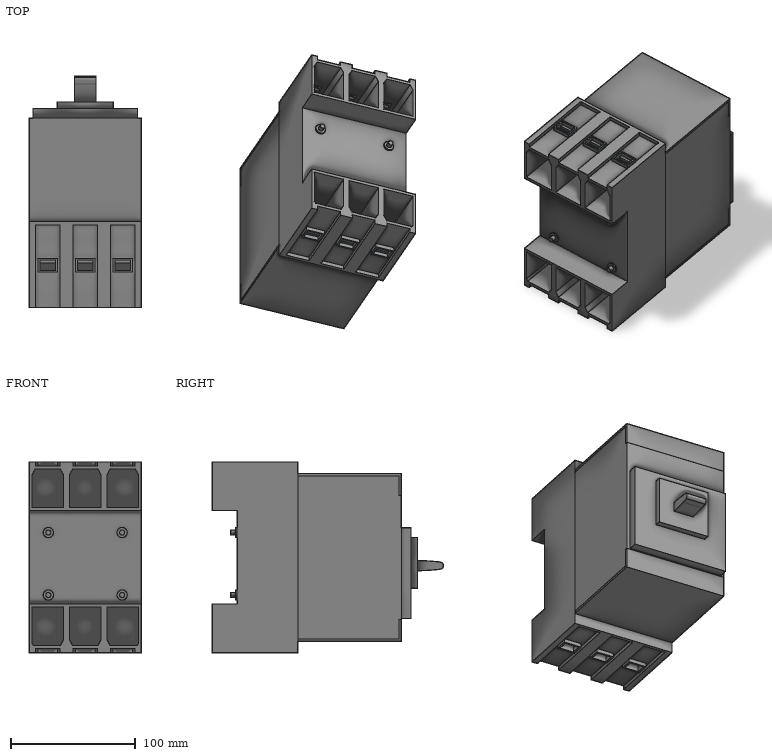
import cadquery as cq


WIDTH = 90.0
LENGTH = 185.5
BASE_HEIGHT = 153.0

BASE_DEPTH = 68.8
NOTCH_HEIGHT = 74.8
NOTCH_DEPTH = 20.0
POLE_PITCH = 30.0
POLES = (-1, 0, 1)
WALL = 2.6

GROOVE_WIDTH = 19.7
GROOVE_DEPTH = 3.3

FRAME_WIDTH = 15.5
FRAME_LENGTH = 11.0
FRAME_Y = 34.0
WINDOW_WIDTH = 12.5
WINDOW_LENGTH = 8.5
LEDGE_LENGTH = 2.5

CHAMBER_WIDTH = 25.5
CHAMBER_Z = NOTCH_HEIGHT / 2 + WALL
CHAMBER_HEIGHT = BASE_HEIGHT / 2 - GROOVE_DEPTH - WALL - CHAMBER_Z
CHAMBER_DEPTH = BASE_DEPTH - WALL
CORNER = (2.6, 4.5)
SMALL_CORNER = (1.3, 1.9)

STUD_SPACING_X = 59.2
STUD_SPACING_Z = 50.1
STUD_CENTRE_Z = -5.2
COLLAR_DIAMETER = 8.2
COLLAR_THICKNESS = 1.3
STUD_DIAMETER = 4.0
STUD_LENGTH = 5.2

CASE_HEIGHT = 134.7
CASE_DEPTH = 83.0
COVER_THICKNESS = 2.0
COVER_LIP = 17.6

BEZEL_WIDTH = 83.9
BEZEL_HEIGHT = 73.0
BEZEL_DEPTH = 7.8
BEZEL_Z = -12.6
ESCUTCHEON_WIDTH = 44.9
ESCUTCHEON_HEIGHT = 41.0
ESCUTCHEON_DEPTH = 5.2
ESCUTCHEON_Z = -4.5
HANDLE_WIDTH = 17.5
HANDLE_Z = -6.7
HANDLE_ROOT = 8.4
HANDLE_SHOULDER = 6.7
HANDLE_NOSE = 5.2
SHOULDER_FROM_TIP = 6.3
NOSE_FROM_TIP = 1.3
SIDE_BULGE = 0.2

CASE_END = BASE_DEPTH + CASE_DEPTH
BEZEL_END = CASE_END + BEZEL_DEPTH
ESCUTCHEON_END = BEZEL_END + ESCUTCHEON_DEPTH


def block(width, y_start, y_end, z_start, z_end, x_centre=0):
    """Box centred on x_centre and spanning the given Y and Z ranges."""
    size = (width, y_end - y_start, z_end - z_start)
    corner = (x_centre - width / 2, y_start, z_start)
    return cq.Workplane("XY").box(*size, centered=False).translate(corner)


def mirror_down(shape):
    """Reflect an upper feature to the lower half."""
    return shape.mirror("XY")


def chamber(x_centre, left_corner, right_corner):
    """Upper terminal chamber whose two outer corners are cut off by (across, down)."""
    half = CHAMBER_WIDTH / 2
    top = CHAMBER_Z + CHAMBER_HEIGHT
    outline = [
        (x_centre - half, CHAMBER_Z),
        (x_centre + half, CHAMBER_Z),
        (x_centre + half, top - right_corner[1]),
        (x_centre + half - right_corner[0], top),
        (x_centre - half + left_corner[0], top),
        (x_centre - half, top - left_corner[1]),
    ]
    return cq.Workplane("XZ").polyline(outline).close().extrude(-CHAMBER_DEPTH)


def groove(x_centre):
    """Groove in the top of the base, open at Y = 0, with a raised frame left standing in it."""
    top = BASE_HEIGHT / 2
    floor = top - GROOVE_DEPTH
    channel = block(GROOVE_WIDTH, 0, BASE_DEPTH - WALL, floor, top, x_centre)
    frame_start = FRAME_Y - FRAME_LENGTH / 2
    frame = block(FRAME_WIDTH, frame_start, frame_start + FRAME_LENGTH, floor, top, x_centre)
    return channel.cut(frame)


def window(x_centre):
    """Window through a frame into the chamber, with a ledge at groove-floor level."""
    top = BASE_HEIGHT / 2
    floor = top - GROOVE_DEPTH
    start = FRAME_Y - WINDOW_LENGTH / 2
    end = start + WINDOW_LENGTH
    recess = block(WINDOW_WIDTH, start, end, floor, top, x_centre)
    opening = block(WINDOW_WIDTH, start, end - LEDGE_LENGTH, floor - WALL, floor, x_centre)
    return recess.union(opening)


def studs():
    """Four collared studs standing out of the notch floor."""
    floor = cq.Workplane("XZ", origin=(0, NOTCH_DEPTH, STUD_CENTRE_Z))
    places = floor.rarray(STUD_SPACING_X, STUD_SPACING_Z, 2, 2)
    collars = places.circle(COLLAR_DIAMETER / 2).extrude(COLLAR_THICKNESS)
    shanks = places.circle(STUD_DIAMETER / 2).extrude(STUD_LENGTH)
    return collars.union(shanks)


def make_base():
    """Plug-in base: notched block with six terminal chambers and four studs."""
    base = block(WIDTH, 0, BASE_DEPTH, -BASE_HEIGHT / 2, BASE_HEIGHT / 2)
    base = base.cut(block(WIDTH, 0, NOTCH_DEPTH, -NOTCH_HEIGHT / 2, NOTCH_HEIGHT / 2))
    for pole in POLES:
        x = pole * POLE_PITCH
        lower_left = SMALL_CORNER if pole == POLES[0] else CORNER
        lower_right = SMALL_CORNER if pole == POLES[-1] else CORNER
        base = base.cut(chamber(x, CORNER, CORNER))
        base = base.cut(mirror_down(chamber(x, lower_left, lower_right)))
        for cutter in (groove(x), window(x)):
            base = base.cut(cutter).cut(mirror_down(cutter))
    return base.union(studs())


def make_cover():
    """Upper cover: a plate over the case with a lip turned down over its far face."""
    top = CASE_HEIGHT / 2
    plate = block(WIDTH, BASE_DEPTH, CASE_END, top - COVER_THICKNESS, top)
    lip = block(WIDTH, CASE_END - COVER_THICKNESS, CASE_END, top - COVER_LIP, top)
    return plate.union(lip)


def handle():
    """Tapered handle with a rounded tip, symmetric about its own centre height."""
    shoulder_y = LENGTH - SHOULDER_FROM_TIP
    nose_y = LENGTH - NOSE_FROM_TIP
    side_mid_y = (ESCUTCHEON_END + shoulder_y) / 2
    side_mid = (HANDLE_ROOT + HANDLE_SHOULDER) / 4 + SIDE_BULGE
    nose_mid_y = (shoulder_y + nose_y) / 2
    nose_mid = (HANDLE_SHOULDER + HANDLE_NOSE) / 4 + SIDE_BULGE
    return (
        cq.Workplane("YZ", origin=(-HANDLE_WIDTH / 2, 0, HANDLE_Z))
        .moveTo(ESCUTCHEON_END, -HANDLE_ROOT / 2)
        .threePointArc((side_mid_y, -side_mid), (shoulder_y, -HANDLE_SHOULDER / 2))
        .threePointArc((nose_mid_y, -nose_mid), (nose_y, -HANDLE_NOSE / 2))
        .threePointArc((LENGTH, 0), (nose_y, HANDLE_NOSE / 2))
        .threePointArc((nose_mid_y, nose_mid), (shoulder_y, HANDLE_SHOULDER / 2))
        .threePointArc((side_mid_y, side_mid), (ESCUTCHEON_END, HANDLE_ROOT / 2))
        .close()
        .extrude(HANDLE_WIDTH)
    )


def make_breaker(covers):
    """Breaker case, rebated for the covers, with its stepped bezel and handle."""
    case = block(WIDTH, BASE_DEPTH, CASE_END, -CASE_HEIGHT / 2, CASE_HEIGHT / 2)
    for cover in covers:
        case = case.cut(cover)
    bezel_bottom = BEZEL_Z - BEZEL_HEIGHT / 2
    bezel = block(BEZEL_WIDTH, CASE_END, BEZEL_END, bezel_bottom, bezel_bottom + BEZEL_HEIGHT)
    plate_bottom = ESCUTCHEON_Z - ESCUTCHEON_HEIGHT / 2
    plate_top = plate_bottom + ESCUTCHEON_HEIGHT
    plate = block(ESCUTCHEON_WIDTH, BEZEL_END, ESCUTCHEON_END, plate_bottom, plate_top)
    return case.union(bezel).union(plate).union(handle())


base = make_base()
upper_cover = make_cover()
covers = [upper_cover, mirror_down(upper_cover)]
breaker = make_breaker(covers)

result = cq.Compound.makeCompound([base.val(), breaker.val(), *[cover.val() for cover in covers]])